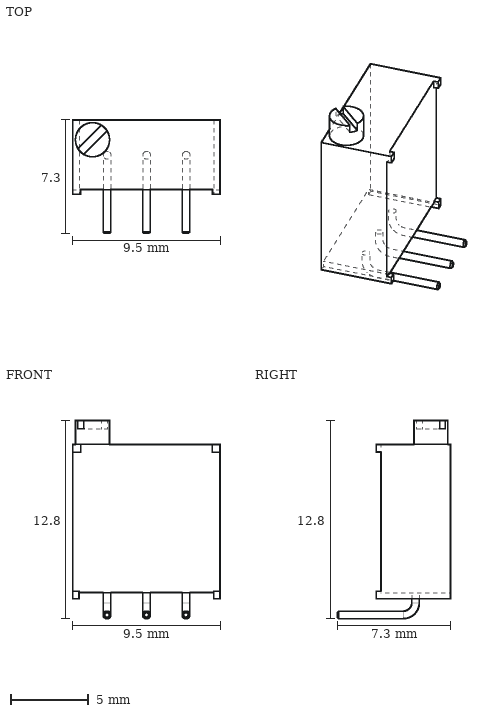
import cadquery as cq
import math

total_height = 12.77
total_depth = 7.3

housing_width = 9.5
housing_height = 9.95
housing_depth = 4.5

pad_projection = 0.31
pad_height = 0.5
top_pad_width = 0.51

rail_width = 0.42
rail_height = 0.41

screw_diameter = 2.2
screw_inset = 1.28
slot_width = 0.52
slot_depth = 0.55
slot_angle = 45.0

pin_diameter = 0.5
pin_count = 3
pin_pitch = 2.54
pin_inset = 2.26
bend_radius = 0.79
pin_tip_chamfer = 0.1

screw_height = 1.55
housing_top = total_height - screw_height
housing_bottom = housing_top - housing_height
floor_height = housing_bottom + rail_height
front_face = -housing_depth
pin_axis_height = pin_diameter / 2


def box_between(x_range, y_range, z_range):
    """Box spanning the given (low, high) limits on each axis."""
    sizes = [high - low for low, high in (x_range, y_range, z_range)]
    corner = (x_range[0], y_range[0], z_range[0])
    return cq.Workplane("XY").box(*sizes, centered=False).translate(corner)


def corner_block(side, width, y_range, z_range):
    """Block of the given width, flush with the left (-1) or right (1) side face."""
    outer = side * housing_width / 2
    inner = outer - side * width
    return box_between(sorted((outer, inner)), y_range, z_range)


def make_housing():
    half_width = housing_width / 2
    housing = box_between((-half_width, half_width), (front_face, 0), (floor_height, housing_top))
    pad_depth_range = (front_face - pad_projection, 0)
    for side in (-1, 1):
        rail = corner_block(side, rail_width, (front_face, 0), (housing_bottom, floor_height))
        lower_pad = corner_block(
            side, rail_width, pad_depth_range, (housing_bottom, housing_bottom + pad_height)
        )
        upper_pad = corner_block(
            side, top_pad_width, pad_depth_range, (housing_top - pad_height, housing_top)
        )
        housing = housing.union(rail).union(lower_pad).union(upper_pad)
    return housing


def make_screw():
    screw = cq.Workplane("XY").circle(screw_diameter / 2).extrude(screw_height)
    slot = (
        cq.Workplane("XY", origin=(0, 0, screw_height - slot_depth))
        .rect(2 * screw_diameter, slot_width)
        .extrude(slot_depth)
        .rotate((0, 0, 0), (0, 0, 1), slot_angle)
    )
    return screw.cut(slot).translate((screw_inset - housing_width / 2, -screw_inset, housing_top))


def make_pin(x):
    """Pin leaving the housing floor downward and bending toward the front."""
    bend_top = pin_axis_height + bend_radius
    bend_front = -pin_inset - bend_radius
    bend_mid_offset = bend_radius * math.cos(math.radians(45))
    bend_middle = (bend_front + bend_mid_offset, bend_top - bend_mid_offset)
    path = (
        cq.Workplane("YZ", origin=(x, 0, 0))
        .moveTo(-pin_inset, floor_height)
        .lineTo(-pin_inset, bend_top)
        .threePointArc(bend_middle, (bend_front, pin_axis_height))
        .lineTo(-total_depth, pin_axis_height)
    )
    pin = cq.Workplane("XY", origin=(x, -pin_inset, floor_height)).circle(pin_diameter / 2).sweep(path)
    return pin.faces("<Y").chamfer(pin_tip_chamfer)


result = make_housing().union(make_screw())
for index in range(pin_count):
    pin_x = (index - (pin_count - 1) / 2) * pin_pitch
    result = result.union(make_pin(pin_x))